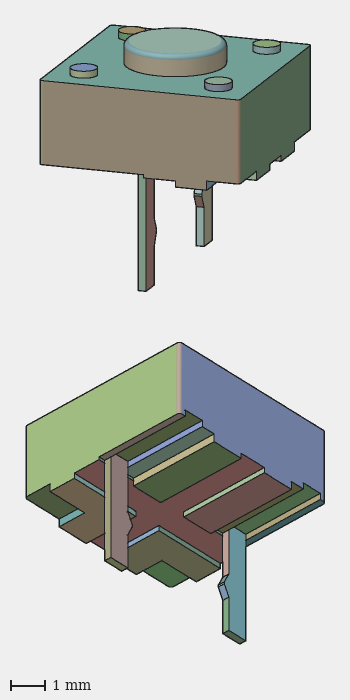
import cadquery as cq

width = 6.2
total_height = 6.8
pin_drop = 3.32
button_height = 0.65
body_height = total_height - pin_drop - button_height
half_width = width / 2
corner_radius = 0.11

button_diameter = 3.0
button_rounding = 0.15
rivet_diameter = 0.8
rivet_height = 0.21
rivet_offset = 2.08

channel_depth = 0.185
recess_depth = 0.28
cross_channel_half_width = 0.49
foot_outer_y = 1.64
foot_start_x = 1.115
foot_end_x = 2.08

pin_thickness = 0.245
pin_width = 0.72
pin_outer_y = 2.86
pin_inner_y = pin_outer_y - pin_width
pin_top = 0.495
barb_projection = 0.19
barb_center_z = -1.715
barb_half_height = 0.415
barb_tip_half_height = 0.035


def box(x_range, y_range, z_range):
    """Axis-aligned block between the given limits."""
    size = [high - low for low, high in (x_range, y_range, z_range)]
    corner = (x_range[0], y_range[0], z_range[0])
    return cq.Workplane("XY").box(*size, centered=False).translate(corner)


def make_housing():
    block = cq.Workplane("XY").rect(width, width).extrude(body_height)
    return block.edges("|Z").fillet(corner_radius)


def make_button():
    button = cq.Workplane("XY", origin=(0, 0, body_height)).circle(button_diameter / 2).extrude(button_height)
    return button.faces(">Z").edges().fillet(button_rounding)


def make_rivets():
    top = cq.Workplane("XY", origin=(0, 0, body_height))
    centers = top.rect(2 * rivet_offset, 2 * rivet_offset, forConstruction=True).vertices()
    return centers.circle(rivet_diameter / 2).extrude(rivet_height)


def make_channels():
    """Two crossing channels that run right through the underside."""
    full = (-half_width, half_width)
    along_x = box(full, (-cross_channel_half_width, cross_channel_half_width), (0, channel_depth))
    along_y = box((pin_thickness / 2, foot_start_x), full, (0, channel_depth))
    return along_x.union(along_y)


def make_side_relief():
    """Corner recesses and the pin slot on the -Y half."""
    edge_y = (-half_width, -foot_outer_y)
    pin_y = (-pin_outer_y, -pin_inner_y)
    pin_corner = box((-half_width, pin_thickness / 2), edge_y, (0, recess_depth))
    far_corner = box((foot_end_x, half_width), edge_y, (0, recess_depth))
    pin_slot = box((-half_width, pin_thickness / 2), pin_y, (0, pin_top))
    return pin_corner.union(far_corner).union(pin_slot)


def make_pin():
    """Flat pin on the -Y half, with a barb on its inner edge."""
    barb_y = -pin_inner_y + barb_projection
    outline = [
        (-pin_outer_y, -pin_drop),
        (-pin_inner_y, -pin_drop),
        (-pin_inner_y, barb_center_z - barb_half_height),
        (barb_y, barb_center_z - barb_tip_half_height),
        (barb_y, barb_center_z + barb_tip_half_height),
        (-pin_inner_y, barb_center_z + barb_half_height),
        (-pin_inner_y, pin_top),
        (-pin_outer_y, pin_top),
    ]
    return cq.Workplane("YZ").polyline(outline).close().extrude(pin_thickness / 2, both=True)


def with_mirror(shape):
    """The shape together with its mirror image on the +Y half."""
    return shape.union(shape.mirror("XZ"))


housing = make_housing().cut(make_channels()).cut(with_mirror(make_side_relief()))
result = housing.union(make_button()).union(make_rivets()).union(with_mirror(make_pin()))